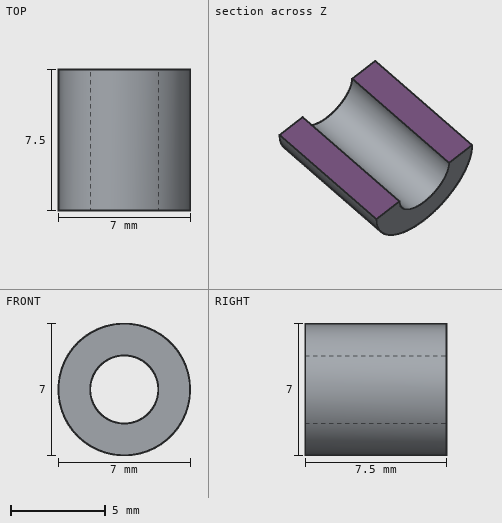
import cadquery as cq

outer_diameter = 7.0
bore_diameter = 3.6
length = 7.5


def make_spacer():
    """Round sleeve with a through bore, starting at Y = 0 and running toward +Y."""
    return (
        cq.Workplane("XZ")
        .circle(outer_diameter / 2)
        .circle(bore_diameter / 2)
        .extrude(-length)
    )


result = make_spacer()